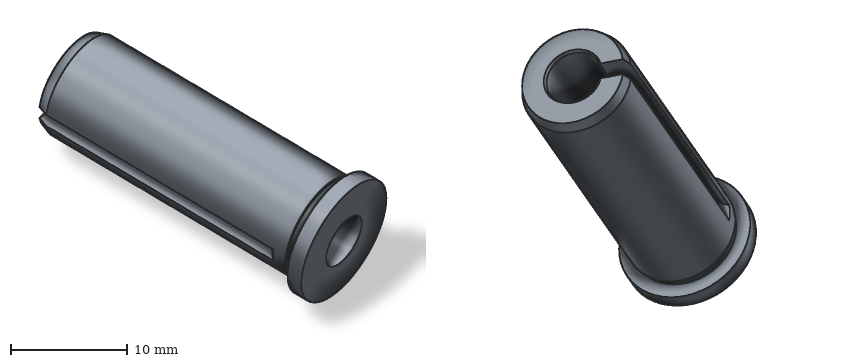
import cadquery as cq
import math

length = 29.5
flange_diameter = 12.0
flange_thickness = 1.5
body_diameter = 10.0
bore_diameter = 5.02

groove_diameter = 9.5
groove_width = 1.0

nose_length = 1.0
nose_depth = 0.35
bore_chamfer_length = 0.3
bore_chamfer_depth = 0.15

slot_width = 1.5
slot_outer_length = 25.7
slot_inner_length = 23.1
wheel_radius = 20.0

flange_radius = flange_diameter / 2
body_radius = body_diameter / 2
groove_radius = groove_diameter / 2
bore_radius = bore_diameter / 2
flange_start = length - flange_thickness
groove_start = flange_start - groove_width


def make_sleeve():
    """Turned sleeve: half section revolved about the X axis."""
    section = (
        cq.Workplane("XY")
        .moveTo(0, bore_radius + bore_chamfer_depth)
        .lineTo(0, body_radius - nose_depth)
        .lineTo(nose_length, body_radius)
        .lineTo(groove_start, body_radius)
        .lineTo(groove_start, groove_radius)
        .lineTo(flange_start, groove_radius)
        .lineTo(flange_start, flange_radius)
        .lineTo(length, flange_radius)
        .lineTo(length, bore_radius)
        .lineTo(bore_chamfer_length, bore_radius)
        .close()
    )
    return section.revolve(360, (0, 0, 0), (1, 0, 0))


def make_slot():
    """Cutter for the slot: a milling wheel with its axle along Z, drawn back past the open end."""
    chord_x = slot_outer_length - slot_inner_length
    chord_y = body_radius - bore_radius
    chord = math.hypot(chord_x, chord_y)
    centre_distance = math.sqrt(wheel_radius**2 - (chord / 2) ** 2)
    wheel_x = (slot_inner_length + slot_outer_length) / 2 - centre_distance * chord_y / chord
    wheel_y = -(bore_radius + body_radius) / 2 - centre_distance * chord_x / chord

    wheel = cq.Workplane("XY").center(wheel_x, wheel_y).circle(wheel_radius)
    wheel = wheel.extrude(slot_width / 2, both=True)
    path = cq.Workplane("XY").moveTo(0, wheel_y).lineTo(wheel_x, wheel_y)
    path = path.lineTo(wheel_x, wheel_y + wheel_radius).lineTo(0, wheel_y + wheel_radius).close()
    return wheel.union(path.extrude(slot_width / 2, both=True))


result = make_sleeve().cut(make_slot())